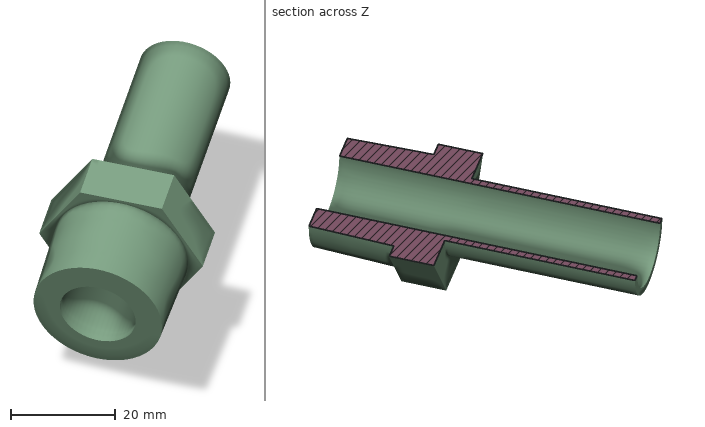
import cadquery as cq
import math

total_length = 64.0
taper_length = 17.1
hex_length = 8.95
hex_across_flats = 28.0
tube_diameter = 18.0
bore_diameter = 15.0
taper_end_diameter = 25.4
taper_ratio = 1 / 16

hex_across_corners = hex_across_flats / math.cos(math.radians(30))
taper_base_diameter = taper_end_diameter + taper_length * taper_ratio
hex_start = taper_length
hex_end = hex_start + hex_length


def section_at(y):
    """Sketch plane across the axis, with its normal along +Y."""
    return cq.Workplane(cq.Plane(origin=(0, y, 0), xDir=(1, 0, 0), normal=(0, 1, 0)))


spigot = (
    section_at(0)
    .circle(taper_end_diameter / 2)
    .workplane(offset=taper_length)
    .circle(taper_base_diameter / 2)
    .loft()
)

collar = section_at(hex_start).polygon(6, hex_across_corners).extrude(hex_length)

tube = section_at(hex_end).circle(tube_diameter / 2).extrude(total_length - hex_end)

bore = section_at(0).circle(bore_diameter / 2).extrude(total_length)

result = spigot.union(collar).union(tube).cut(bore)